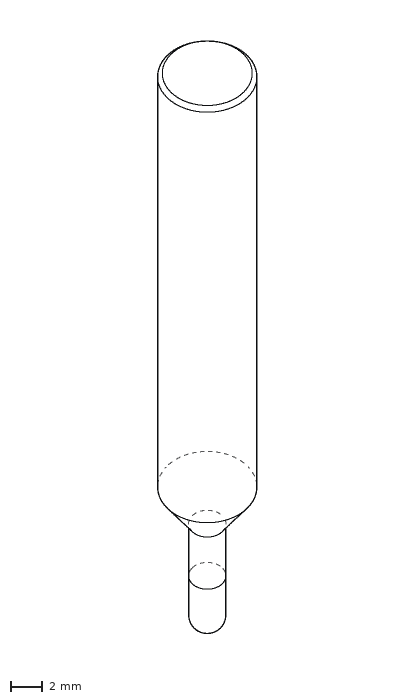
import cadquery as cq
import math

tool_length = 50.8
shank_radius = 6.35 / 2
shank_chamfer = 0.3
neck_radius = 2.4 / 2

cutter_length = 4.8
cone_bottom_z = 9.55
cone_top_z = 12.9


def make_cutter():
    """Cylindrical cutting end with a hemispherical nose."""
    ball_radius = neck_radius
    arc_mid_offset = ball_radius * math.sqrt(0.5)
    return (
        cq.Workplane("XZ")
        .moveTo(0, 0)
        .threePointArc(
            (arc_mid_offset, ball_radius - arc_mid_offset),
            (ball_radius, ball_radius),
        )
        .lineTo(ball_radius, cutter_length)
        .lineTo(0, cutter_length)
        .close()
        .revolve(360, (0, 0), (0, 1))
    )


def make_shank():
    """Chamfered shank that tapers through a cone to the slim neck above the cutter."""
    return (
        cq.Workplane("XZ")
        .moveTo(0, cutter_length)
        .lineTo(neck_radius, cutter_length)
        .lineTo(neck_radius, cone_bottom_z)
        .lineTo(shank_radius, cone_top_z)
        .lineTo(shank_radius, tool_length - shank_chamfer)
        .lineTo(shank_radius - shank_chamfer, tool_length)
        .lineTo(0, tool_length)
        .close()
        .revolve(360, (0, 0), (0, 1))
    )


cutter = make_cutter()
shank = make_shank()

result = cq.Compound.makeCompound([cutter.val(), shank.val()])